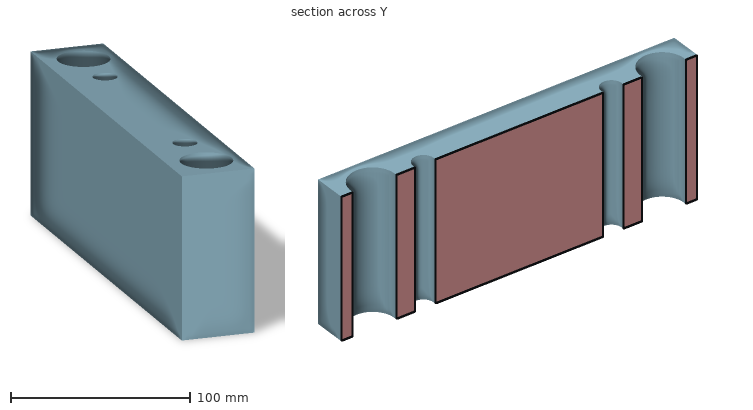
import cadquery as cq

length = 246.0
width = 43.0
height = 96.0

large_diameter = 30.0
large_spacing = 200.0
small_diameter = 14.0
small_spacing = 130.0
hole_row_y = 1.5


def drill_pair(body, diameter, spacing):
    """Drill two vertical through holes, spaced along X on the hole row."""
    centres = [(-spacing / 2, hole_row_y), (spacing / 2, hole_row_y)]
    return body.faces(">Z").workplane(origin=(0, 0, 0)).pushPoints(centres).hole(diameter)


block = cq.Workplane("XY").box(length, width, height)
block = drill_pair(block, large_diameter, large_spacing)
result = drill_pair(block, small_diameter, small_spacing)